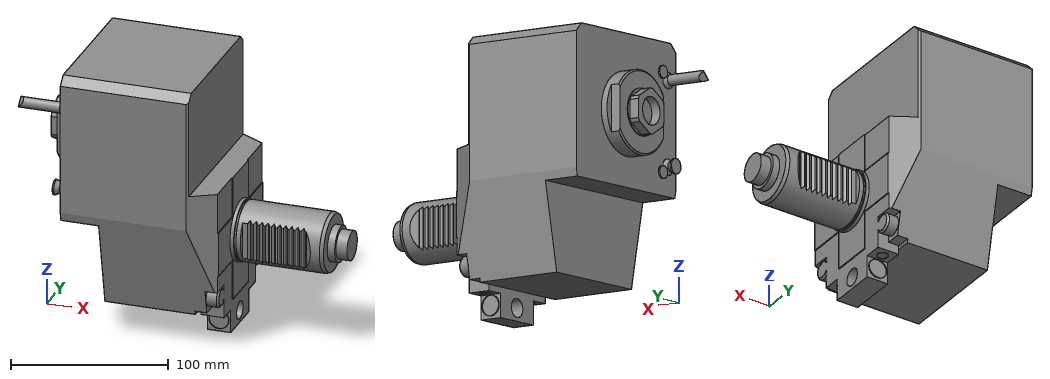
import cadquery as cq
import math


HALF_WIDTH = 52.5
TOP_Z = 111.9
BOTTOM_Z = -45.0
TOP_CHAMFER = 5.6
TAPER_START_Z = 18.1
BOTTOM_HALF_WIDTH = 39.4
FRONT_X = -102.9
LOWER_FRONT_X = -77.5
SHELF_Z = 12.5
UPPER_BACK_X = -16.7
BACK_STEP_Z = 42.0
CROSS_HEIGHT = 0.6
CROSS_HALF_WIDTH = 15.0
BACK_X = -CROSS_HEIGHT
SIDE_BEVEL_X = -18.1
SIDE_BEVEL_ANGLE = 30

BRACKET_FRONT_X = -16.2
BRACKET_BOTTOM_Z = -64.5
BRACKET_HALF_WIDTH = 17.3
PLATE_BOTTOM_Z = -49.0
PLATE_HALF_WIDTH = 29.8
PLATE_STEP_Z = -42.5
SLOT_FRONT_X = -8.7
SLOT_TOP_Z = -26.2
BRACKET_MID_X = (BRACKET_FRONT_X + BACK_X) / 2
BRACKET_HOLE_Z = -56.0
BRACKET_HOLE_RADIUS = 6.0
SIDE_PLUG_RADIUS = 6.7
SIDE_PLUG_HEIGHT = 0.6
BOTTOM_PLUG_RADIUS = 3.7
BOTTOM_PLUG_HEIGHT = 0.5
BOTTOM_PLUG_Y = 23.1
CLAMP_HEAD_RADIUS = 6.7
CLAMP_HEAD_Y = 34.4
CLAMP_HEAD_CHAMFER = 1.2

SHANK_RADIUS = 20.0
SHANK_END_X = 62.5
SHANK_END_CHAMFER = (2.5, 0.8)
COLLAR_RADIUS = 20.6
COLLAR_END_X = 2.5
NECK_RADIUS = 19.5
NECK_END_X = 3.7
STUB_RADIUS = 12.0
STUB_END_X = 67.5
TIP_RADIUS = 9.8
TIP_END_X = 75.0
TOOTH_COUNT = 10
TEETH_LENGTH = 36.0
TOOTH_PITCH = TEETH_LENGTH / (TOOTH_COUNT - 1)
TOOTH_DEPTH = 1.5
TOOTH_CREST_Y = 15.8
FIRST_VALLEY_X = 11.7
FLAT_START_X = 6.9
FLAT_END_X = 49.8

SPINDLE_Z = 59.5
SPINDLE_HUB_RADIUS = 25.2
FLANGE_BACK_X = -104.0
FLANGE_FRONT_X = -115.4
FLANGE_RADIUS = 27.5
FLANGE_CHAMFER = 1.0
FLAT_HALF_WIDTH = 23.0
FLAT_BACK_X = -108.5
NUT_COLLAR_RADIUS = 15.5
NUT_COLLAR_FRONT_X = -116.0
NUT_FRONT_X = -122.9
NUT_ACROSS_FLATS = 26.9
NUT_CORNER_RADIUS = 14.8
BORE_RADIUS = 9.2
BORE_DEPTH = 6.5

NOZZLE_Y = -44.0
UPPER_NOZZLE_Z = 87.5
LOWER_NOZZLE_Z = 31.7
BALL_RADIUS = 5.8
BALL_X = -100.5
TUBE_RADIUS = 3.5
OVERALL_LENGTH = 208.3
TUBE_TIP_X = TIP_END_X - OVERALL_LENGTH
PLUG_FRONT_X = -109.5
PLUG_HEAD_RADIUS = 5.0
PLUG_NECK_RADIUS = 2.3
SCREW_Y = -36.5
SCREW_OFFSET_Z = 4.4
SCREW_FRONT_X = -105.2
SCREW_HEAD_RADIUS = 4.2
SCREW_NECK_RADIUS = 2.5
HEAD_RIM = 1.0


def box(x_range, y_range, z_range):
    """Box between the given limits on each axis."""
    size = [high - low for low, high in (x_range, y_range, z_range)]
    corner = (x_range[0], y_range[0], z_range[0])
    return cq.Workplane("XY").box(*size, centered=False).translate(corner)


def rod(radius, x_start, x_end, y=0, z=0):
    """Cylinder along X."""
    circle = cq.Workplane("YZ", origin=(x_start, y, z)).circle(radius)
    return circle.extrude(x_end - x_start)


def revolve_about_x(profile, y=0, z=0):
    """Solid of revolution along X from an outline of (x, radius) points."""
    outline = cq.Workplane("XY").polyline(profile).close()
    return outline.revolve(360, (0, 0), (1, 0)).translate((0, y, z))


def make_housing():
    section = [
        (HALF_WIDTH - TOP_CHAMFER, TOP_Z),
        (HALF_WIDTH, TOP_Z - TOP_CHAMFER),
        (HALF_WIDTH, TAPER_START_Z),
        (BOTTOM_HALF_WIDTH, BOTTOM_Z),
    ]
    section += [(-y, z) for y, z in reversed(section)]
    block = (
        cq.Workplane("YZ", origin=(FRONT_X, 0, 0))
        .polyline(section).close()
        .extrude(-FRONT_X)
    )

    side_profile = [
        (FRONT_X, TOP_Z),
        (UPPER_BACK_X, TOP_Z),
        (UPPER_BACK_X, BACK_STEP_Z),
        (0, BACK_STEP_Z),
        (0, SLOT_TOP_Z),
        (SLOT_FRONT_X, SLOT_TOP_Z),
        (SLOT_FRONT_X, PLATE_STEP_Z),
        (UPPER_BACK_X, PLATE_STEP_Z),
        (UPPER_BACK_X, BOTTOM_Z),
        (LOWER_FRONT_X, BOTTOM_Z),
        (LOWER_FRONT_X, SHELF_Z),
        (FRONT_X, SHELF_Z),
    ]
    side = cq.Workplane("XZ").polyline(side_profile).close().extrude(HALF_WIDTH, both=True)

    bevel_depth = -SIDE_BEVEL_X * math.tan(math.radians(SIDE_BEVEL_ANGLE))
    plan = [
        (FRONT_X, HALF_WIDTH),
        (SIDE_BEVEL_X, HALF_WIDTH),
        (0, HALF_WIDTH - bevel_depth),
    ]
    plan += [(x, -y) for x, y in reversed(plan)]
    top = (
        cq.Workplane("XY", origin=(0, 0, BOTTOM_Z))
        .polyline(plan).close()
        .extrude(TOP_Z - BOTTOM_Z)
    )
    housing = block.intersect(side).intersect(top)

    corner_heights = [(CROSS_HALF_WIDTH, BACK_STEP_Z), (BOTTOM_Z, -CROSS_HALF_WIDTH)]
    for z_range in corner_heights:
        corner = box((BACK_X, 0), (CROSS_HALF_WIDTH, HALF_WIDTH), z_range)
        housing = housing.cut(corner).cut(corner.mirror("XZ"))
    return housing


def make_bracket():
    plate_width = (-PLATE_HALF_WIDTH, PLATE_HALF_WIDTH)
    block_width = (-BRACKET_HALF_WIDTH, BRACKET_HALF_WIDTH)
    plate = box((BRACKET_FRONT_X, BACK_X), plate_width, (PLATE_BOTTOM_Z, PLATE_STEP_Z))
    tongue = box((SLOT_FRONT_X, BACK_X), plate_width, (PLATE_STEP_Z, SLOT_TOP_Z))
    block = box((BRACKET_FRONT_X, BACK_X), block_width, (BRACKET_BOTTOM_Z, PLATE_BOTTOM_Z))
    arm_width = (-CROSS_HALF_WIDTH, CROSS_HALF_WIDTH)
    cross_arm = box((BACK_X, 0), arm_width, (PLATE_STEP_Z, SLOT_TOP_Z))
    bracket = plate.union(tongue).union(block).union(cross_arm)
    bracket = bracket.cut(rod(BRACKET_HOLE_RADIUS, BRACKET_FRONT_X, BACK_X, z=BRACKET_HOLE_Z))

    plug_reach = BRACKET_HALF_WIDTH + SIDE_PLUG_HEIGHT
    for y_start in (-plug_reach, BRACKET_HALF_WIDTH):
        side_plug = (
            cq.Workplane("XZ", origin=(BRACKET_MID_X, y_start, BRACKET_HOLE_Z))
            .circle(SIDE_PLUG_RADIUS)
            .extrude(-SIDE_PLUG_HEIGHT)
        )
        bracket = bracket.union(side_plug)

    for side in (-1, 1):
        bottom_plug = (
            cq.Workplane("XY", origin=(BRACKET_MID_X, side * BOTTOM_PLUG_Y, PLATE_BOTTOM_Z))
            .circle(BOTTOM_PLUG_RADIUS)
            .extrude(-BOTTOM_PLUG_HEIGHT)
        )
        clamp_head = rod(
            CLAMP_HEAD_RADIUS, SLOT_FRONT_X, BACK_X,
            side * CLAMP_HEAD_Y, SLOT_TOP_Z - CLAMP_HEAD_RADIUS,
        )
        clamp_head = clamp_head.faces(">X").chamfer(CLAMP_HEAD_CHAMFER)
        bracket = bracket.union(bottom_plug).union(clamp_head)
    return bracket


def make_shank():
    chamfer_length, chamfer_depth = SHANK_END_CHAMFER
    shank = revolve_about_x([
        (BACK_X, 0),
        (BACK_X, COLLAR_RADIUS),
        (COLLAR_END_X, COLLAR_RADIUS),
        (COLLAR_END_X, NECK_RADIUS),
        (NECK_END_X, NECK_RADIUS),
        (NECK_END_X, SHANK_RADIUS),
        (SHANK_END_X - chamfer_length, SHANK_RADIUS),
        (SHANK_END_X, SHANK_RADIUS - chamfer_depth),
        (SHANK_END_X, STUB_RADIUS),
        (STUB_END_X, STUB_RADIUS),
        (STUB_END_X, TIP_RADIUS),
        (TIP_END_X, TIP_RADIUS),
        (TIP_END_X, 0),
    ])

    tooth_line = [(FLAT_START_X, SHANK_RADIUS), (FLAT_START_X, TOOTH_CREST_Y)]
    for index in range(TOOTH_COUNT):
        valley_x = FIRST_VALLEY_X + index * TOOTH_PITCH
        tooth_line += [
            (valley_x - TOOTH_DEPTH, TOOTH_CREST_Y),
            (valley_x, TOOTH_CREST_Y - TOOTH_DEPTH),
            (valley_x + TOOTH_DEPTH, TOOTH_CREST_Y),
        ]
    run_out_x = FLAT_END_X + SHANK_RADIUS - TOOTH_CREST_Y
    tooth_line += [(FLAT_END_X, TOOTH_CREST_Y), (run_out_x, SHANK_RADIUS)]
    teeth = cq.Workplane("XY").polyline(tooth_line).close().extrude(SHANK_RADIUS, both=True)
    return shank.cut(teeth).cut(teeth.mirror("XZ"))


def make_spindle():
    flange = revolve_about_x([
        (FRONT_X, 0),
        (FRONT_X, SPINDLE_HUB_RADIUS),
        (FLANGE_BACK_X, SPINDLE_HUB_RADIUS),
        (FLANGE_BACK_X, FLANGE_RADIUS),
        (FLANGE_FRONT_X + FLANGE_CHAMFER, FLANGE_RADIUS),
        (FLANGE_FRONT_X, FLANGE_RADIUS - FLANGE_CHAMFER),
        (FLANGE_FRONT_X, NUT_COLLAR_RADIUS),
        (NUT_COLLAR_FRONT_X, NUT_COLLAR_RADIUS),
        (NUT_COLLAR_FRONT_X, 0),
    ])
    flat_x = (FLANGE_FRONT_X, FLAT_BACK_X)
    flat_z = (-FLANGE_RADIUS, FLANGE_RADIUS)
    wrench_flat = box(flat_x, (FLAT_HALF_WIDTH, FLANGE_RADIUS), flat_z)
    flange = flange.cut(wrench_flat).cut(wrench_flat.mirror("XZ"))

    across_corners = NUT_ACROSS_FLATS / math.cos(math.radians(30))
    nut = (
        cq.Workplane("YZ", origin=(NUT_FRONT_X, 0, 0))
        .transformed(rotate=(0, 0, 90))
        .polygon(6, across_corners)
        .extrude(NUT_COLLAR_FRONT_X - NUT_FRONT_X)
        .intersect(rod(NUT_CORNER_RADIUS, NUT_FRONT_X, NUT_COLLAR_FRONT_X))
    )
    bore = rod(BORE_RADIUS, NUT_FRONT_X, NUT_FRONT_X + BORE_DEPTH)
    return flange.union(nut).cut(bore).translate((0, 0, SPINDLE_Z))


def make_ball(z):
    return cq.Workplane("XY").sphere(BALL_RADIUS).translate((BALL_X, NOZZLE_Y, z))


def make_flared_head(front_x, head_radius, neck_radius, back_x, y, z):
    """Thin round rim that narrows to a neck toward the housing."""
    return revolve_about_x([
        (front_x, 0),
        (front_x, head_radius),
        (front_x + HEAD_RIM, head_radius),
        (back_x, neck_radius),
        (back_x, 0),
    ], y, z)


def make_tube():
    """Nozzle tube ending in a 45 degree chisel tip with a diagonal ridge."""
    tube = rod(TUBE_RADIUS, TUBE_TIP_X, BALL_X)
    chisel = (
        cq.Workplane("XY")
        .polyline([
            (TUBE_TIP_X, 0),
            (TUBE_TIP_X + TUBE_RADIUS, TUBE_RADIUS),
            (BALL_X, TUBE_RADIUS),
            (BALL_X, -TUBE_RADIUS),
            (TUBE_TIP_X + TUBE_RADIUS, -TUBE_RADIUS),
        ])
        .close()
        .extrude(TUBE_RADIUS, both=True)
        .rotate((0, 0, 0), (1, 0, 0), -45)
    )
    return tube.intersect(chisel).translate((0, NOZZLE_Y, UPPER_NOZZLE_Z))


def make_nozzles():
    plug = make_flared_head(
        PLUG_FRONT_X, PLUG_HEAD_RADIUS, PLUG_NECK_RADIUS,
        BALL_X - BALL_RADIUS / 2, NOZZLE_Y, LOWER_NOZZLE_Z,
    )
    nozzles = make_ball(UPPER_NOZZLE_Z).union(make_tube())
    nozzles = nozzles.union(make_ball(LOWER_NOZZLE_Z)).union(plug)
    for screw_z in (UPPER_NOZZLE_Z + SCREW_OFFSET_Z, LOWER_NOZZLE_Z - SCREW_OFFSET_Z):
        screw = make_flared_head(
            SCREW_FRONT_X, SCREW_HEAD_RADIUS, SCREW_NECK_RADIUS, FRONT_X, SCREW_Y, screw_z,
        )
        nozzles = nozzles.union(screw)
    return nozzles


result = (
    make_housing()
    .union(make_bracket())
    .union(make_shank())
    .union(make_spindle())
    .union(make_nozzles())
)